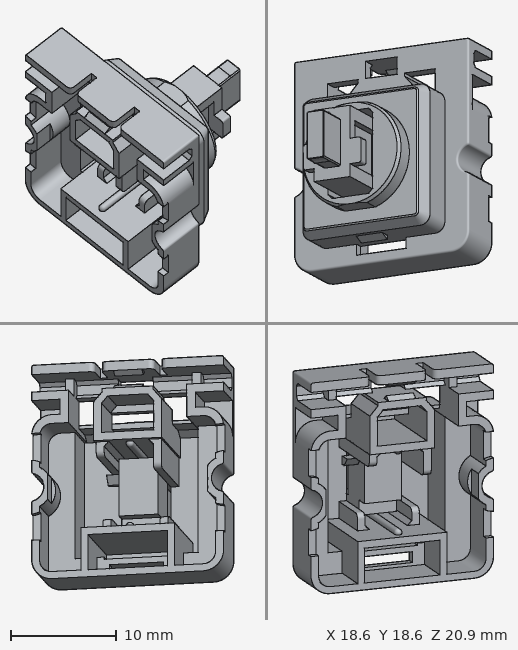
import cadquery as cq
import math

FRAME_W = 18.6
FRAME_H = 20.9
FRAME_D = 4.83
BACK_WALL = 0.82
TOTAL_D = 18.6
AXIS_Z = 9.03

HALF_W = FRAME_W / 2
FLOOR_Y = FRAME_D - BACK_WALL

RIM_TOP = 15.99
SIDE_WALL = 0.77
BOTTOM_WALL = 0.7
TOP_WALL = 0.85
CORNER_R = 1.96
INNER_R = CORNER_R - SIDE_WALL
TOP_EDGE_R = 0.23
BACK_EDGE_R = 0.2
RIM_INNER_TOP = RIM_TOP - TOP_WALL

TOP_PLATE_BOTTOM = 19.98
SHELF_TOP = 18.29
SHELF_BOTTOM = 17.45
RAIL_BACK_Y = 3.78
RAIL_CHAMFER = 0.38
RAIL_WINDOW_HALF = 1.67
STRUT_INNER_X = 5.73
STRUT_OUTER_X = 6.56
STRUT_FRONT_Y = 2.47

TONGUE_SLOT_IN = 2.53
TONGUE_SLOT_OUT = 3.24
TONGUE_SLOT_DEPTH = 2.8
TONGUE_MOUTH_R = 0.52
RIDGE_HALF_W = 1.38
RIDGE_DEPTH = 1.2
RIDGE_PEAK_Y = 0.65
RIDGE_H = 0.4

SCOOP_X = 9.5
SCOOP_Z = 9.0
SCOOP_R = 1.38
SCOOP_WALL = 0.77
SCOOP_FLAT_X = 7.75
SCOOP_FLAT_DEPTH = 1.78
SCOOP_EDGE_R = 0.25
NOTCH_DEPTH = 0.63
NOTCH_BOTTOM = 3.85
NOTCH_TOP = 14.25
NOTCH_REACH = 1.05
NOTCH_GAP_R = 2.63

BOSS_HALF_W = 6.75
BOSS_HALF_H = 6.95
BOSS_BACK = 9.2
BOSS_R = 1.05
BOSS_TAPER_LENGTH = 1.3
BOSS_TAPER_INSET = 0.67
BOSS_END_CHAMFER = 0.1
CAVITY_HALF_W = 5.95
CAVITY_BOTTOM = 2.85
CAVITY_BACK = 8.35
CAVITY_ROOF = 15.65
CAVITY_ROOF_SLOPE_Y = 7.3
CHANNEL_HALF_W = 2.61
CHANNEL_TOP = 15.42
CHANNEL_BOTTOM = 2.63
FIN_SLOT_BACK = 7.73
DISC_BACK = 11.3
DISC_R = 5.2
DISC_HALF_H = 4.95
DISC_CHAMFER = (0.38, 0.23)
WINDOW_HALF_W = 2.38
WEDGE_FRONT_Y = 6.3
WEDGE_BACK_Y = 7.35
WEDGE_H = 0.42

TUBE_HALF_W = 3.3
TUBE_BOTTOM = 13.23
TUBE_TOP_HALF_W = 2.47
TUBE_SHOULDER = 17.03
TUBE_BROW = 17.97
BORE_HALF_W = 2.53
BORE_BOTTOM = 14.0
BORE_SHOULDER = 16.85
BORE_TOP = 17.54
BORE_TOP_HALF_W = 1.92

BOX_HALF_W = 4.54
BOX_TOP = 4.83
BOX_BORE_HALF_W = 3.85
BOX_BORE_TOP = 4.12
BOX_OUTLET_BOTTOM = 1.0

FIN_OUT = 3.15
FIN_R = 0.55
FIN_GUSSET = 0.45
UPPER_FIN_FRONT = 0.52
LOWER_FIN_FRONT = 3.55
LOWER_FIN_TOP = 6.48
LEFT_FIN_BOTTOM = 11.83
RIGHT_FIN_BOTTOM = 10.43
RIB_R = 0.38
RIB_FRONT = 0.73
UPPER_RIB_Z = 13.08
LOWER_RIB_Z = 4.97

PLUG_HALF_W = 1.9
PLUG_HALF_H = 3.51
PLUG_FRONT = 4.95
PLUG_SHOULDER = 15.11
PLUG_STEP_Z = 7.0
PLUG_STEP_FRONT = 6.27
TIP_HALF_W = 0.9
TIP_HALF_H = 2.35
TIP_CHAMFER = 0.13
TIP_RIDGE_Y = (16.9, 17.68)
TIP_RIDGE_H = 0.08
ARM_FRONT = 14.07
ARM_HALF_W = 3.07
ARM_BOTTOM = 6.8
ARM_TOP = 9.3
ARM_R = 0.23
POCKET_FRONT = 9.2
POCKET_TOP = 11.29
POCKET_DEPTH = 0.73
HOOK_Z = (10.45, 11.29)
HOOK_FRONT = 5.85
HOOK_BACK = 7.1
HOOK_SLOPE = 42.0

SIDES = (-1, 1)


def box(x0, x1, y0, y1, z0, z1):
    """Box between two corners; either order is accepted along X."""
    return cq.Workplane("XY").box(abs(x1 - x0), y1 - y0, z1 - z0, centered=False).translate(
        (min(x0, x1), y0, z0)
    )


def centred_box(half_w, y0, y1, z0, z1):
    """Box symmetric about the middle plane X = 0."""
    return box(-half_w, half_w, y0, y1, z0, z1)


def along_y(points, y0, y1):
    """Polygon of (x, z) points extruded from y0 to y1."""
    return cq.Workplane("XZ", origin=(0, y0, 0)).polyline(points).close().extrude(y0 - y1)


def along_x(points, x0, x1):
    """Polygon of (y, z) points extruded from x0 to x1."""
    return cq.Workplane("YZ", origin=(x0, 0, 0)).polyline(points).close().extrude(x1 - x0)


def cylinder_y(x, z, radius, y0, y1):
    """Cylinder parallel to Y."""
    return cq.Workplane("XZ", origin=(x, y0, z)).circle(radius).extrude(y0 - y1)


def outer_block():
    """Full-depth block with rounded corners and a finger scoop in each side."""
    block = centred_box(HALF_W, 0, FRAME_D, 0, FRAME_H)
    block = block.edges("|Y and <Z").fillet(CORNER_R)
    block = block.edges("|Y and >Z").fillet(TOP_EDGE_R)
    for side in SIDES:
        block = block.cut(cylinder_y(side * SCOOP_X, SCOOP_Z, SCOOP_R, 0, FRAME_D))
    lip_zone = cq.selectors.BoxSelector(
        (-FRAME_W, 0, SCOOP_Z - SCOOP_R - SCOOP_EDGE_R),
        (FRAME_W, FRAME_D, SCOOP_Z + SCOOP_R + SCOOP_EDGE_R),
    )
    return block.edges("|Y").edges(lip_zone).fillet(SCOOP_EDGE_R)


def scoop_bumps():
    """Thick walls that back the finger scoops, flattened near the rim."""
    bumps = cq.Workplane("XY")
    for side in SIDES:
        bump = cylinder_y(side * SCOOP_X, SCOOP_Z, SCOOP_R + SCOOP_WALL, 0, FLOOR_Y)
        bump = bump.cut(
            box(0, side * SCOOP_FLAT_X, 0, SCOOP_FLAT_DEPTH, 0, FRAME_H)
        )
        bump = bump.intersect(outer_block())
        bumps = bumps.add(bump)
    return bumps.combine()


def frame_block():
    """Outer block with scoops, upper side recesses and a rounded back edge."""
    block = outer_block().faces(">Y").edges().fillet(BACK_EDGE_R)
    rim = centred_box(HALF_W, 0, FLOOR_Y, 0, RIM_TOP).edges("|Y").fillet(CORNER_R)
    recess = centred_box(HALF_W, 0, FLOOR_Y, RIM_TOP - CORNER_R, SHELF_BOTTOM)
    middle = centred_box(STRUT_OUTER_X, 0, FLOOR_Y, 0, FRAME_H)
    return block.cut(recess.cut(rim).cut(middle))


def rim_interior():
    inside = centred_box(HALF_W - SIDE_WALL, 0, FLOOR_Y, BOTTOM_WALL, RIM_INNER_TOP)
    return inside.edges("|Y").fillet(INNER_R)


def rail_slot():
    """Slot along X with chamfered inner corners and a window to the rear."""
    front = 0
    outline = [
        (front, SHELF_TOP),
        (RAIL_BACK_Y - RAIL_CHAMFER, SHELF_TOP),
        (RAIL_BACK_Y, SHELF_TOP + RAIL_CHAMFER),
        (RAIL_BACK_Y, TOP_PLATE_BOTTOM - RAIL_CHAMFER),
        (RAIL_BACK_Y - RAIL_CHAMFER, TOP_PLATE_BOTTOM),
        (front, TOP_PLATE_BOTTOM),
    ]
    slot = along_x(outline, -HALF_W, HALF_W)
    for side in SIDES:
        strut = box(
            side * STRUT_INNER_X, side * STRUT_OUTER_X,
            STRUT_FRONT_Y, FLOOR_Y, SHELF_TOP, TOP_PLATE_BOTTOM,
        )
        slot = slot.cut(strut)
    return slot.union(centred_box(RAIL_WINDOW_HALF, 0, FRAME_D, SHELF_TOP, TOP_PLATE_BOTTOM))


def tongue_slots():
    """Two slots with rounded mouths that free the tongue in the top plate."""
    slots = cq.Workplane("XY")
    r = TONGUE_MOUTH_R
    for side in SIDES:
        slot = box(
            side * TONGUE_SLOT_IN, side * TONGUE_SLOT_OUT,
            0, TONGUE_SLOT_DEPTH, TOP_PLATE_BOTTOM, FRAME_H,
        )
        for edge, away in ((TONGUE_SLOT_IN, -1), (TONGUE_SLOT_OUT, 1)):
            centre_x = edge + away * r
            mouth = box(side * edge, side * centre_x, 0, r, TOP_PLATE_BOTTOM, FRAME_H)
            round_part = (
                cq.Workplane("XY", origin=(side * centre_x, r, TOP_PLATE_BOTTOM))
                .circle(r)
                .extrude(FRAME_H - TOP_PLATE_BOTTOM)
            )
            slot = slot.union(mouth.cut(round_part))
        slots = slots.add(slot)
    return slots.combine()


def rail_ridge(base_z, direction):
    """Triangular catch across the middle of the rail slot."""
    outline = [
        (0, base_z),
        (RIDGE_DEPTH, base_z),
        (RIDGE_PEAK_Y, base_z + direction * RIDGE_H),
    ]
    return along_x(outline, -RIDGE_HALF_W, RIDGE_HALF_W)


def side_notches():
    """Rim notches above and below each scoop, ending in an arc about the scoop axis."""
    cutters = cq.Workplane("XY")
    for side in SIDES:
        span = box(
            side * (HALF_W - NOTCH_REACH), side * HALF_W, 0, NOTCH_DEPTH, NOTCH_BOTTOM, NOTCH_TOP
        )
        keep = cylinder_y(side * SCOOP_X, SCOOP_Z, NOTCH_GAP_R, 0, NOTCH_DEPTH)
        cutters = cutters.add(span.cut(keep))
    return cutters.combine()


def disc_edge_ring():
    """Ring that leaves a conical edge on the disc."""
    length, inset = DISC_CHAMFER
    outline = [
        (DISC_R, DISC_BACK - length),
        (DISC_R + inset, DISC_BACK - length),
        (DISC_R + inset, DISC_BACK),
        (DISC_R - inset, DISC_BACK),
    ]
    profile = cq.Workplane("XY").polyline(outline).close()
    return profile.revolve(360, (0, 0, 0), (0, 1, 0)).translate((0, 0, AXIS_Z))


def boss():
    """Rounded boss whose rear end tapers, with a flatted disc behind it."""
    z0 = AXIS_Z - BOSS_HALF_H
    z1 = AXIS_Z + BOSS_HALF_H
    taper_y = BOSS_BACK - BOSS_TAPER_LENGTH
    body = centred_box(BOSS_HALF_W, FLOOR_Y, taper_y, z0, z1).edges("|Y").fillet(BOSS_R)
    taper_angle = math.degrees(math.atan2(BOSS_TAPER_INSET, BOSS_TAPER_LENGTH))
    taper = body.faces(">Y").wires().toPending().workplane(origin=(0, taper_y, 0))
    body = body.union(taper.extrude(BOSS_TAPER_LENGTH, taper=taper_angle, combine=False))
    body = body.faces(">Y").chamfer(BOSS_END_CHAMFER)
    disc = cylinder_y(0, AXIS_Z, DISC_R, CAVITY_BACK, DISC_BACK)
    disc = disc.cut(disc_edge_ring())
    flats = centred_box(DISC_R, 0, DISC_BACK, AXIS_Z - DISC_HALF_H, AXIS_Z + DISC_HALF_H)
    return body.union(disc.intersect(flats))


def snap_wedges():
    """One-way wedges on the top and the bottom of the boss."""
    wedges = cq.Workplane("XY")
    for end in SIDES:
        base = AXIS_Z + end * BOSS_HALF_H
        outline = [
            (WEDGE_FRONT_Y, base),
            (WEDGE_FRONT_Y, base + end * WEDGE_H),
            (WEDGE_BACK_Y, base),
        ]
        wedges = wedges.add(along_x(outline, -RIDGE_HALF_W, RIDGE_HALF_W))
    return wedges.combine()


def boss_cavity():
    main = centred_box(CAVITY_HALF_W, 0, CAVITY_BACK, CAVITY_BOTTOM, RIM_INNER_TOP)
    roof = along_x(
        [
            (0, RIM_INNER_TOP),
            (CAVITY_BACK, RIM_INNER_TOP),
            (CAVITY_ROOF_SLOPE_Y, CAVITY_ROOF),
            (0, CAVITY_ROOF),
        ],
        -STRUT_INNER_X,
        STRUT_INNER_X,
    )
    gap = centred_box(STRUT_INNER_X, 0, FRAME_D, RIM_INNER_TOP, SHELF_TOP)
    channel = centred_box(CHANNEL_HALF_W, FRAME_D, CAVITY_BACK, CHANNEL_BOTTOM, CHANNEL_TOP)
    lower_gap = centred_box(CHANNEL_HALF_W, FLOOR_Y, FRAME_D, CHANNEL_BOTTOM, CAVITY_BOTTOM)
    fin_slots = centred_box(FIN_OUT, FLOOR_Y, FIN_SLOT_BACK, CHANNEL_BOTTOM, CAVITY_BOTTOM)
    return main.union(roof).union(gap).union(channel).union(lower_gap).union(fin_slots)


def plug_window():
    return centred_box(WINDOW_HALF_W, CAVITY_BACK, DISC_BACK, BOX_TOP, TUBE_BOTTOM)


def upper_tube():
    outer = [
        (-TUBE_HALF_W, TUBE_BOTTOM),
        (TUBE_HALF_W, TUBE_BOTTOM),
        (TUBE_HALF_W, TUBE_SHOULDER),
        (TUBE_TOP_HALF_W, TUBE_BROW),
        (TUBE_TOP_HALF_W, SHELF_TOP),
        (-TUBE_TOP_HALF_W, SHELF_TOP),
        (-TUBE_TOP_HALF_W, TUBE_BROW),
        (-TUBE_HALF_W, TUBE_SHOULDER),
    ]
    bore = [
        (-BORE_HALF_W, BORE_BOTTOM),
        (BORE_HALF_W, BORE_BOTTOM),
        (BORE_HALF_W, BORE_SHOULDER),
        (BORE_TOP_HALF_W, BORE_TOP),
        (-BORE_TOP_HALF_W, BORE_TOP),
        (-BORE_HALF_W, BORE_SHOULDER),
    ]
    front = along_y(outer, 0, FRAME_D)
    rear = centred_box(TUBE_HALF_W, FRAME_D, CAVITY_BACK, TUBE_BOTTOM, CAVITY_ROOF)
    tube = front.union(rear)
    tube = tube.cut(along_y(bore, 0, FLOOR_Y))
    tube = tube.cut(centred_box(BORE_HALF_W, FLOOR_Y, FRAME_D, BORE_BOTTOM, BORE_SHOULDER))
    return tube.cut(centred_box(BORE_HALF_W, FRAME_D, CAVITY_BACK, BORE_BOTTOM, CHANNEL_TOP))


def lower_box():
    tube = centred_box(BOX_HALF_W, 0, CAVITY_BACK, CAVITY_BOTTOM, BOX_TOP)
    foot = centred_box(BOX_HALF_W, 0, FLOOR_Y, BOTTOM_WALL, CAVITY_BOTTOM)
    bore = centred_box(BOX_BORE_HALF_W, 0, FLOOR_Y, BOTTOM_WALL, BOX_BORE_TOP)
    rear_bore = centred_box(BOX_BORE_HALF_W, FLOOR_Y, CAVITY_BACK, CAVITY_BOTTOM, BOX_BORE_TOP)
    return tube.union(foot).cut(bore).cut(rear_bore)


def box_outlet():
    """Opening through the back wall below the boss."""
    return centred_box(
        CHANNEL_HALF_W, FLOOR_Y, FRAME_D, BOX_OUTLET_BOTTOM, AXIS_Z - BOSS_HALF_H
    )


def guide_fin(side, front, root_z, tip_z):
    """Fin from root_z to tip_z with a rounded front tip and a gusset at its root."""
    direction = 1 if tip_z > root_z else -1
    tip_edge = ">Z" if direction > 0 else "<Z"
    fin = box(
        side * WINDOW_HALF_W, side * FIN_OUT, front, CAVITY_BACK,
        min(root_z, tip_z), max(root_z, tip_z),
    )
    fin = fin.faces("<Y").edges(tip_edge).fillet(FIN_R)
    gusset = along_y(
        [
            (side * WINDOW_HALF_W, root_z),
            (side * (WINDOW_HALF_W - FIN_GUSSET), root_z),
            (side * WINDOW_HALF_W, root_z + direction * FIN_GUSSET),
        ],
        front,
        DISC_BACK,
    )
    return fin.union(gusset)


def centre_rib(z):
    """Round-ended rib half sunk in the wall at height z."""
    shoulder_y = RIB_FRONT + RIB_R
    arc_step = RIB_R * math.sqrt(0.5)
    profile = (
        cq.Workplane("XY")
        .moveTo(0, RIB_FRONT)
        .threePointArc((arc_step, shoulder_y - arc_step), (RIB_R, shoulder_y))
        .lineTo(RIB_R, CAVITY_BACK)
        .lineTo(0, CAVITY_BACK)
        .close()
    )
    return profile.revolve(360, (0, 0, 0), (0, 1, 0)).translate((0, 0, z))


def make_housing():
    body = frame_block().cut(rim_interior())
    body = body.union(scoop_bumps()).union(boss())
    body = body.cut(boss_cavity()).cut(plug_window())
    body = body.cut(rail_slot()).cut(tongue_slots())
    body = body.union(upper_tube()).union(lower_box())
    body = body.cut(box_outlet()).cut(side_notches())
    body = body.union(snap_wedges())
    body = body.union(rail_ridge(TOP_PLATE_BOTTOM, -1)).union(rail_ridge(SHELF_TOP, 1))
    for side, fin_bottom in ((-1, LEFT_FIN_BOTTOM), (1, RIGHT_FIN_BOTTOM)):
        body = body.union(guide_fin(side, UPPER_FIN_FRONT, TUBE_BOTTOM, fin_bottom))
        body = body.union(guide_fin(side, LOWER_FIN_FRONT, BOX_TOP, LOWER_FIN_TOP))
    for rib_z in (UPPER_RIB_Z, LOWER_RIB_Z):
        body = body.union(centre_rib(rib_z))
    return body


def plug_block():
    """Block with a set-back lower front and a pocket in each side."""
    block = centred_box(
        PLUG_HALF_W, PLUG_FRONT, PLUG_SHOULDER, AXIS_Z - PLUG_HALF_H, AXIS_Z + PLUG_HALF_H
    )
    block = block.cut(
        centred_box(PLUG_HALF_W, PLUG_FRONT, PLUG_STEP_FRONT, AXIS_Z - PLUG_HALF_H, PLUG_STEP_Z)
    )
    for side in SIDES:
        block = block.cut(
            box(
                side * (PLUG_HALF_W - POCKET_DEPTH), side * PLUG_HALF_W,
                POCKET_FRONT, ARM_FRONT, ARM_BOTTOM, POCKET_TOP,
            )
        )
    return block


def plug_arms():
    arms = centred_box(ARM_HALF_W, ARM_FRONT, PLUG_SHOULDER, ARM_BOTTOM, ARM_TOP)
    return arms.edges("|Y").fillet(ARM_R)


def plug_tip():
    """Chamfered blade with a low ridge on its top and bottom."""
    z0 = AXIS_Z - TIP_HALF_H
    z1 = AXIS_Z + TIP_HALF_H
    tip = centred_box(TIP_HALF_W, PLUG_SHOULDER, TOTAL_D, z0, z1)
    tip = tip.edges("|Y").chamfer(TIP_CHAMFER).faces(">Y").chamfer(TIP_CHAMFER / 2)
    y0, y1 = TIP_RIDGE_Y
    ridge = along_x(
        [
            (y0, z0),
            ((y0 + y1) / 2, z0 - TIP_RIDGE_H),
            (y1, z0),
            (y1, z1),
            ((y0 + y1) / 2, z1 + TIP_RIDGE_H),
            (y0, z1),
        ],
        TIP_CHAMFER - TIP_HALF_W,
        TIP_HALF_W - TIP_CHAMFER,
    )
    return tip.union(ridge)


def plug_hook():
    """Small hook on the left side, its front face sloping back towards the bottom."""
    z0, z1 = HOOK_Z
    outline = [
        (HOOK_FRONT, z1),
        (HOOK_FRONT + (z1 - z0) * math.tan(math.radians(HOOK_SLOPE)), z0),
        (HOOK_BACK, z0),
        (HOOK_BACK, z1),
    ]
    return along_x(outline, -TUBE_HALF_W, -PLUG_HALF_W)


def make_plug():
    return plug_block().union(plug_arms()).union(plug_tip()).union(plug_hook())


housing = make_housing()
plug = make_plug()
result = cq.Compound.makeCompound([housing.val(), plug.val()])